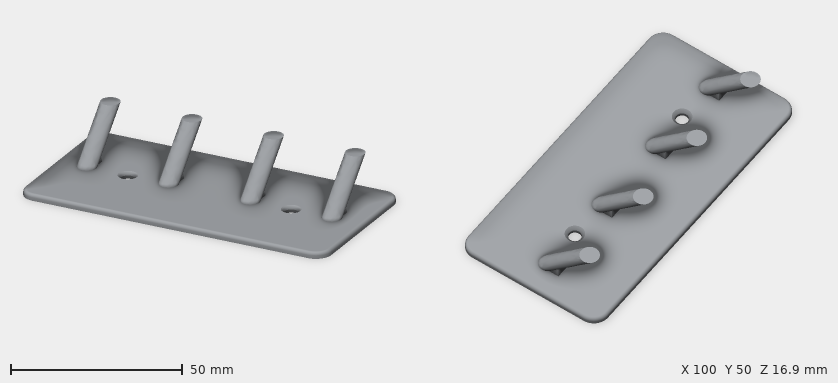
import cadquery as cq

plate_length = 100.0
plate_width = 50.0
plate_thickness = 2.0
corner_radius = 5.0
edge_radius = 1.0

total_height = 16.9
peg_count = 4
peg_diameter = 6.0
end_margin = 10.0
peg_rise = total_height - plate_thickness
peg_lean = peg_rise
peg_pitch = (plate_length - 2 * end_margin) / (peg_count - 1)
peg_positions = [(i - (peg_count - 1) / 2) * peg_pitch for i in range(peg_count)]

web_reach = 5.3
web_thickness = 4.5

hole_diameter = 4.0
countersink_diameter = 6.0
countersink_angle = 90.0
hole_positions = [(-peg_pitch, 0), (peg_pitch, 0)]


def make_plate():
    plate = (
        cq.Workplane("XY")
        .box(plate_length, plate_width, plate_thickness, centered=(True, True, False))
        .edges("|Z")
        .fillet(corner_radius)
        .faces(">Z")
        .edges()
        .fillet(edge_radius)
    )
    return (
        plate.faces(">Z")
        .workplane(origin=(0, 0, plate_thickness))
        .pushPoints(hole_positions)
        .cskHole(hole_diameter, countersink_diameter, countersink_angle)
    )


def make_peg(x):
    """Sweep a horizontal circle along a sloping line, keeping both ends horizontal."""
    base = cq.Wire.makeCircle(
        peg_diameter / 2, cq.Vector(x, 0, plate_thickness), cq.Vector(0, 0, 1)
    )
    lean = cq.Vector(0, peg_lean, peg_rise)
    return cq.Workplane(cq.Solid.extrudeLinear(base, [], lean))


def make_web(x):
    """Triangular web from the peg axis to a vertical face behind the peg."""
    return (
        cq.Workplane("YZ", origin=(x - web_thickness / 2, 0, plate_thickness))
        .polyline([(0, 0), (web_reach, 0), (web_reach, web_reach)])
        .close()
        .extrude(web_thickness)
    )


result = make_plate()
for peg_x in peg_positions:
    result = result.union(make_peg(peg_x)).union(make_web(peg_x))